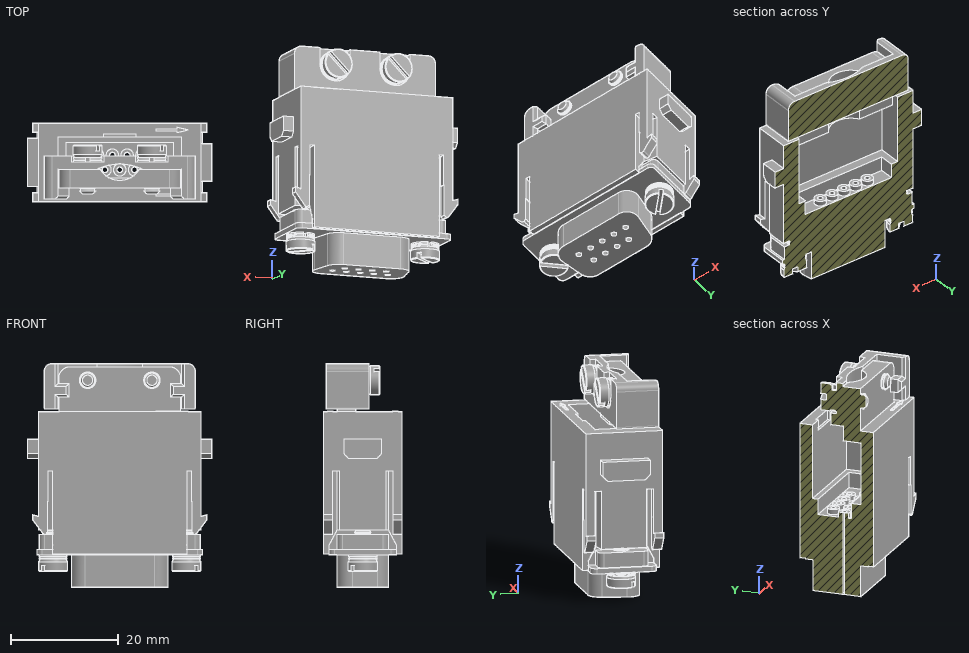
import cadquery as cq
import math

SIDES = (-1, 1)

housing_half_x = 15.1
housing_half_y = 7.3
housing_top = 26.45
waist_half_x = 12.42
arm_root_z = 15.45

arm_inner_x = 13.26
arm_thin_x = 13.36
arm_thin_z = 9.8
arm_inner_y = 5.57
arm_tip_z = 3.7
arm_tip_inner_x = 13.75
arm_tip_outer_x = 14.15
arm_tip_round = 0.45
barb_x = 16.15
barb_heel_z = 7.04
barb_top_z = 7.33
barb_bottom_z = 6.35

panel_bottom_z = 4.45
panel_outer_half_y = 4.3
panel_inner_half_y = 4.78

key_half_x = 17.1
key_bottom_z = 17.7
key_top_z = 21.35
key_chamfer = 0.93
left_key_half_y = 4.5
right_key_half_y = 3.5

arrow_height = 0.13
arrow_y = 6.03
arrow_tail_x = 6.71
arrow_neck_x = 10.63
arrow_tip_x = 12.69
arrow_shaft_half = 0.22
arrow_head_half = 0.51

cavity_half_x = 11.46
cavity_half_y = 4.76
cavity_floor_z = 12.0
well_half_x = 10.0
well_back_y = 3.68
well_front_y = -2.88
well_floor_z = 9.0
notch_half_x = 3.03
notch_y = 5.28
notch_depth = 2.0

front_contacts = 5
back_contacts = 4
contact_pitch = 2.74
contact_row_y = 1.36
contact_bore = 1.0
contact_cup = 2.3
contact_cup_height = 1.0

flange_half_x = 15.37
flange_half_y = 6.24
flange_top = 0.88
flange_bottom = -0.13
flange_corner = 1.0
shell_half_x = 14.95
shell_half_y = panel_inner_half_y
shell_top = 3.7
shell_corner = 1.0
seat_shoulder_z = 1.7
seat_depth = 0.5
plug_bottom = -6.15
plug_half_x = 8.95
plug_half_y = 4.78
plug_corner = 2.48
plug_side_angle = math.radians(10)

head_diameter = 5.4
head_height = 2.28
head_taper = 0.54
head_neck_radius = 2.45
head_edge = 0.15
washer_radius = 2.63
washer_height = 0.8
washer_groove_depth = 0.15
washer_split = 0.8
slot_width = 0.8
slot_depth = 1.08
flange_screw_x = 12.36
thread_diameter = 3.05
thread_pitch = 0.4
thread_depth = 0.2

frame_half_x = 14.02
frame_bottom = 26.88
frame_foot_height = 0.27
frame_foot_inset = 0.08
frame_top = 35.35
frame_corner = 1.47
frame_back_y = 1.2
frame_front_y = -6.8
frame_wall_y = -1.28
frame_inner_x = 11.44
frame_lip_chamfer = 0.55
plate_half_x = 11.3
plate_front_y = -cavity_half_y
plate_top = 34.75
plate_bottom = 24.0
plate_corner = 2.1
hook_tip_x = 9.38
hook_bottom_z = 29.1
hook_top_z = 31.65
clamp_screw_x = 5.96
clamp_screw_z = 32.25
screw_recess_width = 6.0
screw_recess_depth = 1.08
screw_end_tip_radius = 0.95
screw_end_y = -5.85
screw_end_taper = 0.6

back_half_chord = 4.22
back_rise = 1.0
plate_half_chord = 3.6
plate_rise = 2.05


def box(x0, x1, y0, y1, z0, z1):
    return cq.Workplane("XY").box(x1 - x0, y1 - y0, z1 - z0, centered=False).translate((x0, y0, z0))


def symmetric_box(half_x, half_y, z0, z1):
    return box(-half_x, half_x, -half_y, half_y, z0, z1)


def both_ends(shape):
    return shape.union(shape.mirror("YZ"))


def front_and_back(shape):
    return shape.union(shape.mirror("XZ"))


def latch_arms():
    outline = [
        (arm_inner_x, arm_root_z),
        (housing_half_x, arm_root_z),
        (housing_half_x, barb_heel_z),
        (barb_x, barb_top_z),
        (barb_x, barb_bottom_z),
        (arm_tip_outer_x, arm_tip_z),
        (arm_tip_inner_x, arm_tip_z),
        (arm_thin_x, arm_tip_z + arm_tip_inner_x - arm_thin_x),
        (arm_thin_x, arm_thin_z),
        (arm_inner_x, arm_thin_z),
    ]
    arm = (cq.Workplane("XZ", origin=(0, -arm_inner_y, 0)).polyline(outline).close()
           .extrude(housing_half_y - arm_inner_y))
    tip_point = (arm_tip_outer_x, -(arm_inner_y + housing_half_y) / 2, arm_tip_z)
    arm = arm.edges(cq.selectors.NearestToPointSelector(tip_point)).fillet(arm_tip_round)
    return both_ends(front_and_back(arm))


def end_panels():
    outline = [
        (waist_half_x, -panel_inner_half_y),
        (housing_half_x, -panel_outer_half_y),
        (housing_half_x, panel_outer_half_y),
        (waist_half_x, panel_inner_half_y),
    ]
    panel = (cq.Workplane("XY", origin=(0, 0, panel_bottom_z)).polyline(outline).close()
             .extrude(arm_root_z - panel_bottom_z))
    return both_ends(panel)


def coding_key(side, half_y):
    length = key_half_x - housing_half_x
    height = key_top_z - key_bottom_z
    return (cq.Workplane("XY").box(length, 2 * half_y, height)
            .edges("|X and <Z").chamfer(key_chamfer)
            .translate((side * (housing_half_x + length / 2), 0, key_bottom_z + height / 2)))


def arrow(y):
    outline = [
        (arrow_tail_x, y - arrow_shaft_half),
        (arrow_neck_x, y - arrow_shaft_half),
        (arrow_neck_x, y - arrow_head_half),
        (arrow_tip_x, y),
        (arrow_neck_x, y + arrow_head_half),
        (arrow_neck_x, y + arrow_shaft_half),
        (arrow_tail_x, y + arrow_shaft_half),
    ]
    return (cq.Workplane("XY", origin=(0, 0, housing_top)).polyline(outline).close()
            .extrude(arrow_height))


def flange_seat():
    """Trapezoidal recess in each end of the waist, behind the connector flange."""
    outline = [
        (-flange_half_y, 0),
        (flange_half_y, 0),
        (flange_half_y, seat_shoulder_z),
        (panel_inner_half_y, panel_bottom_z),
        (-panel_inner_half_y, panel_bottom_z),
        (-flange_half_y, seat_shoulder_z),
    ]
    seat = (cq.Workplane("YZ", origin=(waist_half_x - seat_depth, 0, 0)).polyline(outline).close()
            .extrude(seat_depth))
    return both_ends(seat)


def housing():
    body = symmetric_box(housing_half_x, housing_half_y, arm_root_z, housing_top)
    body = body.union(symmetric_box(waist_half_x, housing_half_y, 0, arm_root_z))
    body = body.cut(flange_seat()).union(end_panels()).union(latch_arms())
    body = body.union(coding_key(-1, left_key_half_y)).union(coding_key(1, right_key_half_y))
    for side in SIDES:
        body = body.union(arrow(side * arrow_y))
    return body


def cavity():
    room = symmetric_box(cavity_half_x, cavity_half_y, cavity_floor_z, housing_top)
    well = box(-well_half_x, well_half_x, well_front_y, well_back_y, well_floor_z, cavity_floor_z)
    notch = box(-notch_half_x, notch_half_x, 0, notch_y, housing_top - notch_depth, housing_top)
    return room.union(well).union(notch)


def contact_row(count, y):
    middle = (count - 1) / 2
    return [(contact_pitch * (i - middle), y) for i in range(count)]


def contact_points():
    return contact_row(front_contacts, -contact_row_y) + contact_row(back_contacts, contact_row_y)


def contact_cylinders(diameter, bottom, top):
    return (cq.Workplane("XY", origin=(0, 0, bottom)).pushPoints(contact_points())
            .circle(diameter / 2).extrude(top - bottom))


def plug():
    """D-shaped plug, wider at the front, with fillets tangent to its sloping ends."""
    slope = math.tan(plug_side_angle)
    arc_x = plug_half_x - plug_corner
    arc_y = -plug_half_y + plug_corner
    middle_x = arc_x + plug_corner / math.cos(plug_side_angle) + arc_y * slope
    front_x = middle_x + plug_half_y * slope
    back_x = middle_x - plug_half_y * slope
    outline = [
        (-front_x, -plug_half_y),
        (front_x, -plug_half_y),
        (back_x, plug_half_y),
        (-back_x, plug_half_y),
    ]
    return (cq.Workplane("XY", origin=(0, 0, plug_bottom)).polyline(outline).close()
            .extrude(-plug_bottom).edges("|Z").fillet(plug_corner))


def screw_head(slot_angle, split_angle):
    """Slotted head on a grooved, split lock washer, standing on the XY plane and pointing up."""
    radius = head_diameter / 2
    top = washer_height + head_height
    profile = [
        (0, 0),
        (washer_radius, 0),
        (washer_radius, washer_height / 3),
        (washer_radius - washer_groove_depth, washer_height / 3),
        (washer_radius - washer_groove_depth, washer_height * 2 / 3),
        (washer_radius, washer_height * 2 / 3),
        (washer_radius, washer_height),
        (head_neck_radius, washer_height),
        (radius, washer_height + head_taper),
        (radius, top - head_edge),
        (radius - head_edge, top),
        (0, top),
    ]
    head = cq.Workplane("XZ").polyline(profile).close().revolve(360, (0, 0), (0, 1))
    slot = (symmetric_box(head_diameter, slot_width / 2, top - slot_depth, top)
            .rotate((0, 0, 0), (0, 0, 1), slot_angle))
    split = (box(thread_diameter / 2, head_diameter, -washer_split / 2, washer_split / 2,
                 0, washer_height)
             .rotate((0, 0, 0), (0, 0, 1), split_angle))
    return head.cut(slot).cut(split)


def thread(length):
    """Ridged rod standing on the XY plane; the ridges stand for the thread turns."""
    crest = thread_diameter / 2
    root = crest - thread_depth
    profile = [(0, 0), (root, 0)]
    for turn in range(math.floor(length / thread_pitch)):
        start = turn * thread_pitch
        profile += [(crest, start + thread_pitch / 2), (root, start + thread_pitch)]
    profile += [(root, length), (0, length)]
    return cq.Workplane("XZ").polyline(profile).close().revolve(360, (0, 0), (0, 1))


def connector():
    flange = symmetric_box(flange_half_x, flange_half_y, flange_bottom, flange_top)
    flange = flange.edges("|Z").fillet(flange_corner)
    shell = symmetric_box(shell_half_x, shell_half_y, flange_top, shell_top)
    body = flange.union(shell.edges("|Z").fillet(shell_corner)).union(plug())
    head = screw_head(-45, 90).mirror("XY").translate((flange_screw_x, 0, flange_bottom))
    stud = thread(panel_bottom_z - flange_bottom).translate((flange_screw_x, 0, flange_bottom))
    return body.union(both_ends(head.union(stud)))


def cable_passage():
    outline = (cq.Workplane("XY", origin=(0, 0, plate_bottom))
               .moveTo(-back_half_chord, frame_wall_y)
               .threePointArc((0, frame_wall_y + back_rise), (back_half_chord, frame_wall_y))
               .lineTo(plate_half_chord, frame_wall_y)
               .threePointArc((0, frame_wall_y - plate_rise), (-plate_half_chord, frame_wall_y))
               .close())
    return outline.extrude(frame_top - plate_bottom)


def clamp_frame():
    frame = box(-frame_half_x, frame_half_x, frame_front_y, frame_back_y, frame_bottom, frame_top)
    frame = frame.edges("|Y and >Z").fillet(frame_corner)
    opening = box(-frame_inner_x, frame_inner_x, frame_front_y, frame_wall_y, frame_bottom, frame_top)
    lip = [
        (frame_inner_x, frame_front_y),
        (frame_inner_x + frame_lip_chamfer, frame_front_y),
        (frame_inner_x, frame_front_y + frame_lip_chamfer),
    ]
    lip_cut = (cq.Workplane("XY", origin=(0, 0, frame_bottom)).polyline(lip).close()
               .extrude(frame_top - frame_bottom))
    frame = frame.cut(opening).cut(both_ends(lip_cut))
    foot = [
        (frame_half_x, frame_bottom + frame_foot_height),
        (frame_half_x, frame_bottom),
        (frame_half_x - frame_foot_inset, frame_bottom),
    ]
    foot_cut = (cq.Workplane("XZ", origin=(0, frame_back_y, 0)).polyline(foot).close()
                .extrude(frame_back_y - frame_front_y))
    frame = frame.cut(both_ends(foot_cut))
    hook = box(hook_tip_x, frame_half_x - frame_corner, frame_front_y, plate_front_y,
               hook_bottom_z, hook_top_z)
    hook = hook.faces("<Y").edges("|Z and <X or |X").chamfer(frame_lip_chamfer)
    return frame.union(both_ends(hook))


def pressure_plate():
    plate = box(-plate_half_x, plate_half_x, plate_front_y, frame_wall_y, plate_bottom, plate_top)
    return plate.edges("|Y and >Z").fillet(plate_corner)


def screw_recess(x):
    """Slot for a screw head, round below and open at the top of the frame."""
    radius = screw_recess_width / 2
    floor_y = frame_back_y - screw_recess_depth
    pocket = (cq.Workplane("XZ", origin=(x, frame_back_y, clamp_screw_z)).circle(radius)
              .extrude(screw_recess_depth))
    return pocket.union(box(x - radius, x + radius, floor_y, frame_back_y, clamp_screw_z, frame_top))


def clamp_screw(x):
    """Screw along Y with its head at the back, its washer split up and its bevelled tip in front."""
    head = screw_head(-45, -90).rotate((0, 0, 0), (1, 0, 0), -90)
    head = head.translate((x, frame_back_y - screw_recess_depth, clamp_screw_z))
    tip_base_y = screw_end_y + screw_end_taper
    stud = thread(frame_wall_y - tip_base_y).rotate((0, 0, 0), (1, 0, 0), 90)
    stud = stud.translate((x, frame_wall_y, clamp_screw_z))
    tip_profile = [
        (0, tip_base_y),
        (thread_diameter / 2, tip_base_y),
        (screw_end_tip_radius, screw_end_y),
        (0, screw_end_y),
    ]
    tip = (cq.Workplane("XY").polyline(tip_profile).close().revolve(360, (0, 0), (0, 1))
           .translate((x, 0, clamp_screw_z)))
    return head.union(stud).union(tip)


def cable_clamp():
    clamp = clamp_frame().union(pressure_plate()).cut(cable_passage())
    for side in SIDES:
        x = side * clamp_screw_x
        clamp = clamp.cut(screw_recess(x)).union(clamp_screw(x))
    return clamp


result = housing().union(connector()).cut(cavity())
result = result.union(contact_cylinders(contact_cup, well_floor_z, well_floor_z + contact_cup_height))
result = result.cut(contact_cylinders(contact_bore, plug_bottom, well_floor_z + contact_cup_height))
result = result.union(cable_clamp())